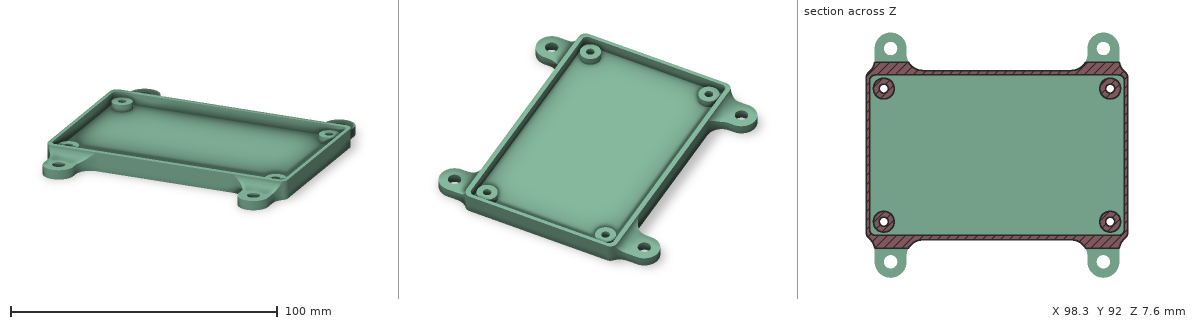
import cadquery as cq
import math

length = 98.3
width = 63.7
height = 7.6
corner_radius = 2.9
wall_x = 1.5
wall_y = 1.9
floor_thickness = 2.9
cavity_corner_radius = 2.0

boss_x = 42.5
boss_y = 25.0
boss_diameter = 8.0
boss_hole_diameter = 3.2
boss_height = 2.9

overall_width = 92.0
lug_x = 39.9
lug_radius = 6.0
lug_thickness = 3.7
lug_hole_diameter = 5.0
blend_radius = 6.0

lug_y = overall_width / 2 - lug_radius
side_y = width / 2
cove_radius = height - lug_thickness
corner_x = length / 2 - corner_radius
corner_y = side_y - corner_radius


def rounded_block(size_x, size_y, size_z, radius, bottom=0.0):
    block = cq.Workplane("XY").workplane(offset=bottom).rect(size_x, size_y).extrude(size_z)
    return block.edges("|Z").fillet(radius)


def lug_outline():
    """Plan outline of the +X +Y lug, flaring into the side wall and the tray corner."""
    inner_x = lug_x - lug_radius
    outer_x = lug_x + lug_radius
    diagonal = math.sqrt(0.5)

    inner_center = (inner_x - blend_radius, side_y + blend_radius)
    inner_mid = (
        inner_center[0] + blend_radius * diagonal,
        inner_center[1] - blend_radius * diagonal,
    )

    center_distance = corner_radius + blend_radius
    outer_center_x = outer_x + blend_radius
    run = outer_center_x - corner_x
    rise = math.sqrt(center_distance**2 - run**2)
    outer_center_y = corner_y + rise
    touch = (
        corner_x + run * corner_radius / center_distance,
        corner_y + rise * corner_radius / center_distance,
    )
    half_sweep = math.atan2(rise, run) / 2
    outer_mid = (
        outer_center_x - blend_radius * math.cos(half_sweep),
        outer_center_y - blend_radius * math.sin(half_sweep),
    )

    return (
        cq.Workplane("XY")
        .moveTo(inner_center[0], side_y)
        .threePointArc(inner_mid, (inner_x, inner_center[1]))
        .lineTo(inner_x, lug_y)
        .threePointArc((lug_x, lug_y + lug_radius), (outer_x, lug_y))
        .lineTo(outer_x, outer_center_y)
        .threePointArc(outer_mid, touch)
        .lineTo(corner_x, corner_y)
        .lineTo(inner_center[0], corner_y)
        .close()
    )


def cove_profile(plane):
    """Section through the cove, measured outward from the corner axis."""
    center_y = corner_radius + cove_radius
    diagonal = cove_radius * math.sqrt(0.5)
    return (
        cq.Workplane(plane)
        .lineTo(center_y, 0)
        .lineTo(center_y, lug_thickness)
        .threePointArc((center_y - diagonal, height - diagonal), (corner_radius, height))
        .lineTo(0, height)
        .close()
    )


def make_lug():
    section_plane = cq.Plane(origin=(corner_x, corner_y, 0), xDir=(0, 1, 0), normal=(1, 0, 0))
    straight_cove = cove_profile(section_plane).extrude(-corner_x)
    corner_cove = cove_profile(section_plane).revolve(360, (0, 0), (0, 1))
    cove = straight_cove.union(corner_cove).intersect(lug_outline().extrude(height))
    hole = cq.Workplane("XY").center(lug_x, lug_y).circle(lug_hole_diameter / 2).extrude(height)
    return lug_outline().extrude(lug_thickness).union(cove).cut(hole)


def boss_cylinders(diameter, cylinder_height):
    return (
        cq.Workplane("XY")
        .rect(2 * boss_x, 2 * boss_y, forConstruction=True)
        .vertices()
        .circle(diameter / 2)
        .extrude(cylinder_height)
    )


tray = rounded_block(length, width, height, corner_radius)
cavity = rounded_block(
    length - 2 * wall_x,
    width - 2 * wall_y,
    height - floor_thickness,
    cavity_corner_radius,
    floor_thickness,
)

lug = make_lug()
side_lugs = lug.union(lug.mirror("YZ"))
lugs = side_lugs.union(side_lugs.mirror("XZ"))

bosses = boss_cylinders(boss_diameter, floor_thickness + boss_height)
boss_holes = boss_cylinders(boss_hole_diameter, height)

result = tray.union(lugs).cut(cavity).union(bosses).cut(boss_holes)